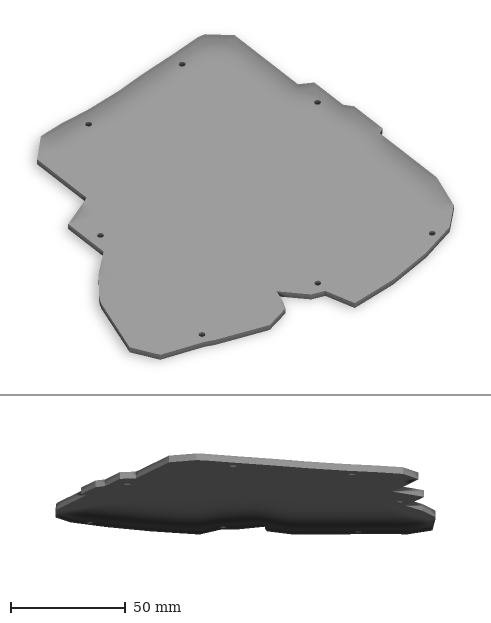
import cadquery as cq

width = 170.6
length = 174
thickness = 3.0
hole_diameter = 3.0

upper_step_y = 171.0
shoulder_y = 164.9
lower_shoulder_y = 48.7
lower_step_y = 31.7

top_edge = [
    (0.7, 155.7),
    (9.7, shoulder_y),
    (51.1, shoulder_y),
    (55.0, upper_step_y),
    (73.7, upper_step_y),
    (77.7, length),
    (96.2, length),
    (97.7, upper_step_y),
    (135.1, upper_step_y),
    (153, shoulder_y),
]

right_edge = [
    (162.1, 154.5),
    (167.5, 135.8),
    (width, 114.1),
    (width, 91.7),
    (156.4, 87.1),
    (154.0, 81.0),
]

lower_lobe = [
    (142.5, 71.1),
    (148.4, 69.4),
    (153, 67.0),
    (156.4, 54.8),
    (147.7, 31.0),
    (145.4, 26.5),
    (138.8, 6.8),
    (126.5, 0),
    (97.7, 9.0),
    (94.6, 10.6),
    (82.8, 20.7),
]

bottom_edge = [
    (73.7, lower_step_y),
    (50.6, lower_step_y),
    (43.5, lower_shoulder_y),
    (11.1, lower_shoulder_y),
]

left_edge = [
    (1.2, 59.7),
    (1.2, 72.0),
    (2.0, 79.8),
    (2.5, 86.0),
    (2.5, 104.7),
    (2.0, 111.0),
    (1.4, 119.0),
    (1.0, 129.4),
    (0.9, 136.0),
    (0, 152.5),
]

hole_centers = [
    (8.2, 135.7),
    (9.4, 80.2),
    (65.2, 163.7),
    (65.2, 37.4),
    (160, 146.1),
    (150.5, 88.0),
    (141.2, 28.9),
]


def make_plate():
    outline = top_edge + right_edge + lower_lobe + bottom_edge + left_edge
    return cq.Workplane("XY").polyline(outline).close().extrude(thickness)


def make_holes():
    return cq.Workplane("XY").pushPoints(hole_centers).circle(hole_diameter / 2).extrude(thickness)


result = make_plate().cut(make_holes())